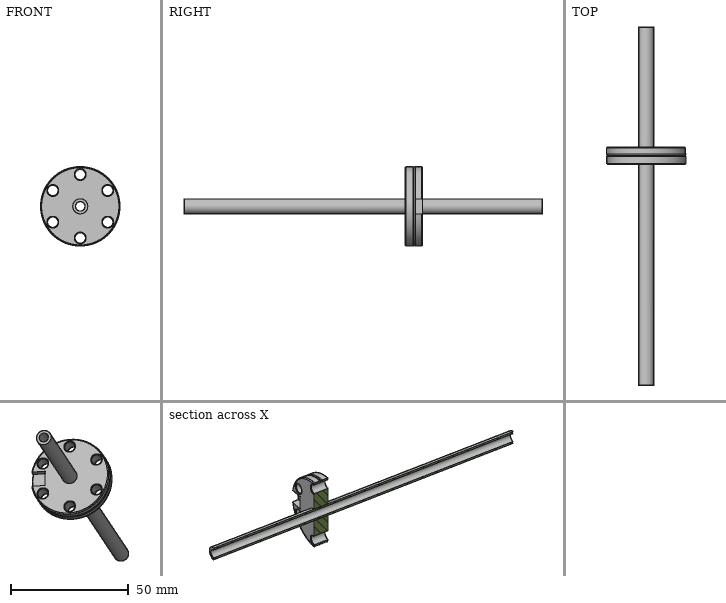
import cadquery as cq

TUBE_LENGTH = 152.4
TUBE_DIAMETER = 6.4
BORE_DIAMETER = 4.0
TUBE_BEHIND_FLANGE = 50.9

FLANGE_DIAMETER = 33.8
FLANGE_RADIUS = FLANGE_DIAMETER / 2
FLANGE_THICKNESS = 7.5
RIM_CHAMFER = 0.5

GROOVE_Y = -3.7
GROOVE_WIDTH = 1.0
GROOVE_DEPTH = 0.23

BOLT_COUNT = 6
BOLT_HOLE_DIAMETER = 4.4
BOLT_HOLE_CHAMFER = 0.3
BOLT_CIRCLE_DIAMETER = 27.0
FIRST_BOLT_ANGLE = 90

SLOT_WIDTH = 6.4
SLOT_DEPTH = -GROOVE_Y - GROOVE_WIDTH / 2
SLOT_INNER_X = 10.7

def cylinder_along_y(diameter, length, back_y=0):
    """Cylinder on the Y axis that runs from back_y toward -Y."""
    return cq.Workplane("XZ", origin=(0, back_y, 0)).circle(diameter / 2).extrude(length)

def make_tube():
    outside = cylinder_along_y(TUBE_DIAMETER, TUBE_LENGTH, TUBE_BEHIND_FLANGE)
    bore = cylinder_along_y(BORE_DIAMETER, TUBE_LENGTH, TUBE_BEHIND_FLANGE)
    return outside.cut(bore)

def make_rim_groove():
    """V-shaped ring that the groove takes out of the rim."""
    half_width = GROOVE_WIDTH / 2
    return (
        cq.Workplane("XY")
        .moveTo(FLANGE_RADIUS, GROOVE_Y - half_width)
        .lineTo(FLANGE_RADIUS, GROOVE_Y + half_width)
        .lineTo(FLANGE_RADIUS - GROOVE_DEPTH, GROOVE_Y)
        .close()
        .revolve(360, (0, 0, 0), (0, 1, 0))
    )

def make_bolt_hole_cutter():
    """Straight hole that widens to a chamfer at both flange faces, on the Y axis."""
    hole_radius = BOLT_HOLE_DIAMETER / 2
    mouth_radius = hole_radius + BOLT_HOLE_CHAMFER
    front_y = -FLANGE_THICKNESS
    return (
        cq.Workplane("XY")
        .moveTo(0, 0)
        .lineTo(mouth_radius, 0)
        .lineTo(hole_radius, -BOLT_HOLE_CHAMFER)
        .lineTo(hole_radius, front_y + BOLT_HOLE_CHAMFER)
        .lineTo(mouth_radius, front_y)
        .lineTo(0, front_y)
        .close()
        .revolve(360, (0, 0, 0), (0, 1, 0))
    )

def cut_bolt_holes(flange):
    first_cutter = make_bolt_hole_cutter().translate((BOLT_CIRCLE_DIAMETER / 2, 0, 0))
    for index in range(BOLT_COUNT):
        angle = FIRST_BOLT_ANGLE + index * 360 / BOLT_COUNT
        flange = flange.cut(first_cutter.rotate((0, 0, 0), (0, 1, 0), angle))
    return flange

def make_rim_slot():
    """Block that the radial slot takes out of the back face."""
    length = FLANGE_RADIUS - SLOT_INNER_X
    return (
        cq.Workplane("XZ")
        .center(SLOT_INNER_X + length / 2, 0)
        .rect(length, SLOT_WIDTH)
        .extrude(SLOT_DEPTH)
    )

def make_flange():
    disc = cylinder_along_y(FLANGE_DIAMETER, FLANGE_THICKNESS).edges().chamfer(RIM_CHAMFER)
    tube_hole = cylinder_along_y(TUBE_DIAMETER, FLANGE_THICKNESS)
    flange = disc.cut(tube_hole).cut(make_rim_groove()).cut(make_rim_slot())
    return cut_bolt_holes(flange)

tube = make_tube()
flange = make_flange()

result = cq.Compound.makeCompound([tube.val(), flange.val()])